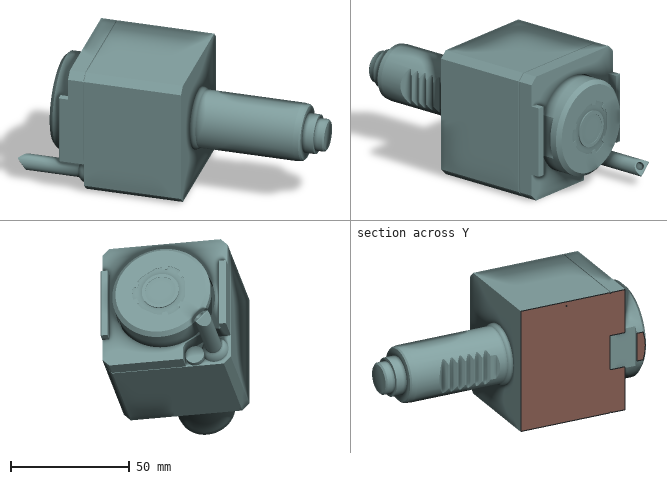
import cadquery as cq
import math


housing_width = 54.0
housing_height = 56.0
edge_chamfer = 3.0
plate_front_x = -49.75
body_front_x = -42.6
joint_width = 0.4
joint_depth = 0.3
recess_radius = 21.5

collar_radius = 13.5
collar_end_x = 2.3
shank_radius = 12.5
shank_taper_x = 45.0
shank_taper_end_x = 47.3
shank_taper_radius = 12.2
shank_end_radius = 11.6
shank_end_x = 48.0
pilot_radius = 8.5
pilot_end_x = 52.8
drive_radius = 7.0
shank_tip_x = 57.0
drive_chamfer = 0.7

tooth_pitch = 4.0
tooth_valley_count = 6
first_valley_x = 11.4
valley_y = 9.7
valley_flat = 0.6
crest_y = 11.2
flat_start_x = 7.0
tooth_cut_margin = 0.3

nut_face_x = -60.0
nut_radius = 21.1
nut_chamfer = 1.7
nut_flat_start_x = -55.2
nut_flat_half_width = 19.0

seat_depth = 0.2
seat_radius = 11.3
seat_side_distance = 10.6
lobe_count = 3
lobe_radius = 12.2
lobe_half_angle = 14.0
seat_notch_radius = 10.4
seat_notch_end_angle = 27.0
seat_side_start_angle = 42.0
disc_radius = 8.0
disc_rise = 0.4
disc_dimple_radius = 6.6

bar_front_x = -53.9
bar_half_height = 15.45
bar_thickness = 3.0
bar_edge_chamfer = 0.4

pocket_top_z = -14.8
pocket_side_y = -7.7
pocket_slope_angle = 30.0
pocket_slope_distance = 22.1
pocket_fillet = 4.0
plug_y = -11.9
plug_z = -23.8
plug_radius = 4.0
plug_front_x = -45.1
pipe_y = -20.2
pipe_z = -21.0
pipe_radius = 3.5
pipe_tip_x = -73.0
ball_radius = 5.9
ball_center_x = -41.4
tip_ridge_half_width = 0.2
tip_roll_angle = 45.0
spray_hole_diameter = 3.5
spray_hole_offset = 1.9
spray_hole_depth = 2.5

half_width = housing_width / 2
half_height = housing_height / 2


def x_cylinder(radius, start_x, end_x, y=0.0, z=0.0):
    plane = cq.Workplane("YZ", origin=(start_x, y, z))
    return plane.circle(radius).extrude(end_x - start_x)


def box_between(low, high):
    size = [b - a for a, b in zip(low, high)]
    return cq.Workplane("XY").box(*size, centered=False).translate(low)


def octagonal_bar(start_x, end_x, inset=0.0):
    """Chamfered rectangular section shared by the housing, plate and joint."""
    section = cq.Workplane("YZ", origin=(start_x, 0, 0))
    section = section.rect(housing_width - 2 * inset, housing_height - 2 * inset)
    return section.extrude(end_x - start_x).edges("|X").chamfer(edge_chamfer)


def make_housing():
    plate_back_x = body_front_x - joint_width
    plate = octagonal_bar(plate_front_x, plate_back_x)
    joint = octagonal_bar(plate_back_x, body_front_x, joint_depth)
    body = octagonal_bar(body_front_x, 0.0)
    bore = x_cylinder(recess_radius, plate_front_x, body_front_x)
    return body.union(plate.union(joint).cut(bore))


def make_side_bars():
    inner_y = half_width - bar_thickness
    bar = box_between(
        (bar_front_x, inner_y, -bar_half_height),
        (body_front_x - joint_width, half_width, bar_half_height),
    )
    bar = bar.edges("|Z and <X and >Y").chamfer(bar_edge_chamfer)
    return bar.union(bar.mirror("XZ"))


def slope_z(y):
    """Height of the sloped pocket wall, which clears the nut recess."""
    slope = math.radians(pocket_slope_angle)
    return -(pocket_slope_distance + y * math.sin(slope)) / math.cos(slope)


def make_corner_pocket():
    slope = math.radians(pocket_slope_angle)
    slope_top_y = -(pocket_slope_distance + pocket_top_z * math.cos(slope)) / math.sin(slope)
    outline = [
        (-half_width, -half_height),
        (-half_width, pocket_top_z),
        (slope_top_y, pocket_top_z),
        (pocket_side_y, slope_z(pocket_side_y)),
        (pocket_side_y, -half_height),
    ]
    start_x = bar_front_x
    pocket = cq.Workplane("YZ", origin=(start_x, 0, 0)).polyline(outline).close()
    pocket = pocket.extrude(body_front_x - start_x)
    inner_corner = cq.selectors.NearestToPointSelector(
        (start_x / 2 + body_front_x / 2, pocket_side_y, slope_z(pocket_side_y))
    )
    return pocket.edges("|X").edges(inner_corner).fillet(pocket_fillet)


def make_nut():
    nut = x_cylinder(nut_radius, nut_face_x, body_front_x)
    nut = nut.faces("<X").chamfer(nut_chamfer)
    flat = box_between(
        (nut_flat_start_x, nut_flat_half_width, -nut_radius),
        (body_front_x, nut_radius, nut_radius),
    )
    nut = nut.cut(flat).cut(flat.mirror("XZ"))
    nut = nut.cut(make_collet_seat())
    disc_face_x = nut_face_x - disc_rise
    disc = x_cylinder(disc_radius, disc_face_x, nut_face_x + seat_depth)
    dimple = x_cylinder(disc_dimple_radius, disc_face_x, disc_face_x + seat_depth)
    return nut.union(disc.cut(dimple))


def polar(radius, angle):
    return (radius * math.cos(math.radians(angle)), radius * math.sin(math.radians(angle)))


def make_collet_seat():
    """Shallow three-lobed seat with a notch on each side of every lobe."""
    step = 360.0 / lobe_count
    side_radius = seat_side_distance / math.cos(math.radians(step / 2 - seat_side_start_angle))
    outline = cq.Workplane("YZ", origin=(nut_face_x, 0, 0))
    outline = outline.moveTo(*polar(lobe_radius, -lobe_half_angle))
    for i in range(lobe_count):
        lobe = i * step
        next_lobe = lobe + step
        outline = outline.threePointArc(
            polar(lobe_radius, lobe), polar(lobe_radius, lobe + lobe_half_angle)
        )
        outline = outline.lineTo(*polar(seat_notch_radius, lobe + lobe_half_angle))
        outline = outline.lineTo(*polar(seat_notch_radius, lobe + seat_notch_end_angle))
        outline = outline.lineTo(*polar(seat_radius, lobe + seat_notch_end_angle))
        outline = outline.lineTo(*polar(side_radius, lobe + seat_side_start_angle))
        outline = outline.lineTo(*polar(side_radius, next_lobe - seat_side_start_angle))
        outline = outline.lineTo(*polar(seat_radius, next_lobe - seat_notch_end_angle))
        outline = outline.lineTo(*polar(seat_notch_radius, next_lobe - seat_notch_end_angle))
        outline = outline.lineTo(*polar(seat_notch_radius, next_lobe - lobe_half_angle))
        outline = outline.lineTo(*polar(lobe_radius, next_lobe - lobe_half_angle))
    return outline.close().extrude(seat_depth)


def make_shank():
    collar_step = collar_radius - shank_radius
    collar_round = (collar_end_x**2 + collar_step**2) / (2 * collar_step)
    half_sweep = math.asin(collar_end_x / collar_round) / 2
    round_middle = (
        collar_round * math.sin(half_sweep),
        collar_radius - collar_round * (1 - math.cos(half_sweep)),
    )
    stepped_end = [
        (shank_taper_x, shank_radius),
        (shank_taper_end_x, shank_taper_radius),
        (shank_end_x, shank_end_radius),
        (shank_end_x, pilot_radius),
        (pilot_end_x, pilot_radius),
        (pilot_end_x, drive_radius),
        (shank_tip_x - drive_chamfer, drive_radius),
        (shank_tip_x, drive_radius - drive_chamfer),
        (shank_tip_x, 0),
    ]
    profile = cq.Workplane("XY").lineTo(0, collar_radius)
    profile = profile.threePointArc(round_middle, (collar_end_x, shank_radius))
    profile = profile.polyline(stepped_end, includeCurrent=True).close()
    shank = profile.revolve(360, (0, 0, 0), (1, 0, 0))
    return shank.cut(make_teeth())


def make_teeth():
    """Flat and valleys with 45 degree sides, cut straight through along Z."""
    top_y = shank_radius + tooth_cut_margin
    half_flat = valley_flat / 2
    half_valley = half_flat + crest_y - valley_y
    outline = [(flat_start_x - (top_y - crest_y), top_y), (flat_start_x, crest_y)]
    for i in range(tooth_valley_count):
        x = first_valley_x + i * tooth_pitch
        outline.append((x - half_valley, crest_y))
        outline.append((x - half_flat, valley_y))
        outline.append((x + half_flat, valley_y))
        if i < tooth_valley_count - 1:
            outline.append((x + half_valley, crest_y))
    outline.append((x + half_flat + top_y - valley_y, top_y))
    teeth = cq.Workplane("XY").polyline(outline).close()
    return teeth.extrude(shank_radius, both=True)


def make_pipe():
    """Coolant pipe along X from a ball seat, with a wedge-shaped tip.

    It is built on the X axis with its two tip faces toward +Z and -Z.
    """
    pipe = x_cylinder(pipe_radius, pipe_tip_x, body_front_x)
    run = pipe_radius - tip_ridge_half_width
    wedge = [
        (pipe_tip_x, tip_ridge_half_width),
        (pipe_tip_x, pipe_radius),
        (pipe_tip_x + run, pipe_radius),
    ]
    bevel = cq.Workplane("XZ").polyline(wedge).close().extrude(pipe_radius, both=True)
    pipe = pipe.cut(bevel).cut(bevel.mirror("XY"))
    hole_x = pipe_tip_x + spray_hole_offset - tip_ridge_half_width
    hole_start = cq.Vector(hole_x, 0, spray_hole_offset)
    into_tip = cq.Vector(1, 0, -1).normalized()
    hole = cq.Solid.makeCylinder(
        spray_hole_diameter / 2,
        spray_hole_depth + pipe_radius,
        hole_start - into_tip * pipe_radius,
        into_tip,
    )
    pipe = pipe.cut(cq.Workplane(hole))
    ball = cq.Workplane("XY").sphere(ball_radius).translate((ball_center_x, 0, 0))
    pipe = pipe.union(ball)
    pipe = pipe.rotate((0, 0, 0), (1, 0, 0), -tip_roll_angle)
    return pipe.translate((0, pipe_y, pipe_z))


def make_plug():
    return x_cylinder(plug_radius, plug_front_x, body_front_x, plug_y, plug_z)


result = (
    make_housing()
    .union(make_side_bars())
    .cut(make_corner_pocket())
    .union(make_nut())
    .union(make_shank())
    .union(make_plug())
    .union(make_pipe())
)